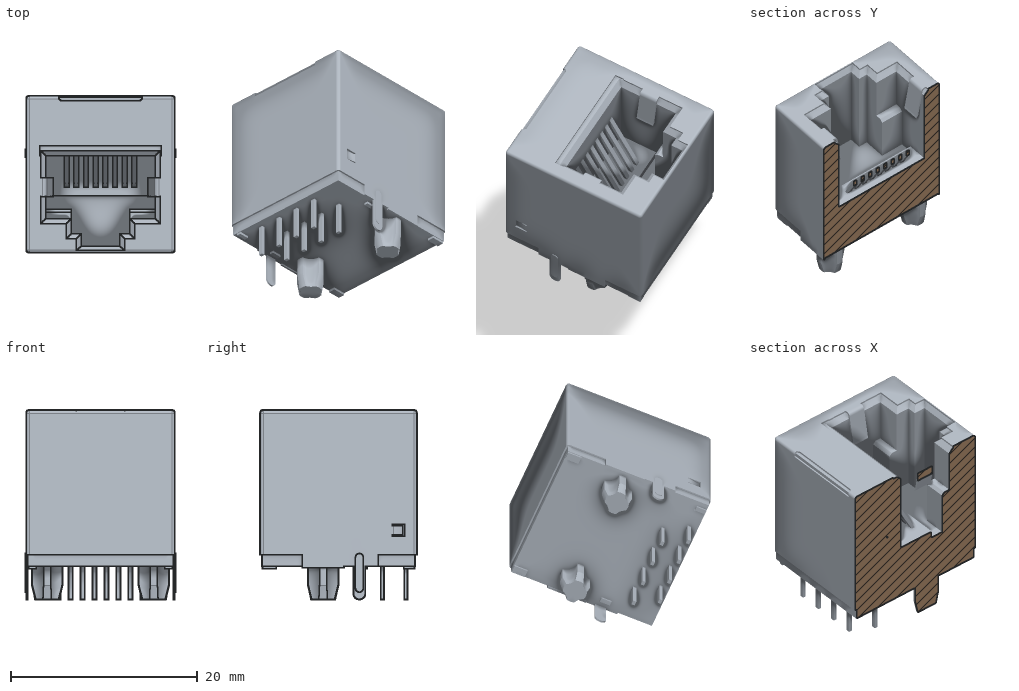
import cadquery as cq
import math

TOP_Z = 20.3
OVERALL_X = 16.1
SHELL_Y = 16.8

RIB_HEIGHT = 0.08
SHELL_X = OVERALL_X - 2 * RIB_HEIGHT
SHELL_BOTTOM_Z = 4.77
SHELL_THICKNESS = 0.2
EDGE_RADIUS = 0.35

BASE_X = SHELL_X - 2 * SHELL_THICKNESS
BASE_Y = SHELL_Y - 2 * SHELL_THICKNESS
BASE_BOTTOM_Z = 3.55

FLAP_BACK_Y = 4.25
FLAP_STEP_Y = 0.6
FLAP_FRONT_Y = -3.9
FLAP_STEP_Z = 3.4

FOOT_BOTTOM_Z = 3.29
FRONT_FOOT_X = (6.9, 7.7)
FRONT_FOOT_Y = (-8.16, -6.64)
INNER_FOOT_X = (6.74, 7.2)
MIDDLE_FOOT_Y = (1.89, 3.07)
REAR_FOOT_Y = (6.98, 8.16)

SHIELD_PIN_Y = 2.23
SHIELD_PIN_WIDTH = 1.3
RIB_WIDTH = 0.83
RIB_BOTTOM_Z = 0.8
RIB_TOP_Z = 4.93

PIN_COUNT = 8
PIN_PITCH = 1.28
PIN_X = 0.47
PIN_Y = 0.37
PIN_ROWS_Y = (4.69, 7.2)

POST_X = 5.7
POST_Y = -1.65
POST_RADIUS = 1.65
POST_TIP_RADIUS = 1.3
POST_TAPER_Z = 1.55
POST_FLUTE_RADIUS = 1.25

CAVITY_TOP_Y = 1.99
CAVITY_STEPS = ((5.87, -4.75), (3.13, -6.37), (2.07, -7.73))
CAVITY_FLOOR_Z = 10.15
FRONT_FLOOR_Z = 9.34
FLOOR_STEP_Y = -2.31
LEAD_IN = 0.55
LEAD_IN_DEPTH = 0.55
WINDOW_HALF_X = 6.5
WINDOW_TOP_Y = 3.05
WINDOW_FRONT_Y = -8.15

SHOULDER_TOP_Z = 14.62
SHOULDER_Y = -3.75
SHOULDER_CHAMFER = 0.32

CONTACT_PITCH = 1.04
CONTACT_WIDTH = 0.5
CONTACT_TOP_Z = 16.42
CONTACT_FRONT_Y = -1.38
CONTACT_THICKNESS = 0.4

SPRING_BACK_Y = -0.37
SPRING_FRONT_Y = -2.4
SPRING_BEND_X = 6.21
SPRING_BEND_RADIUS = 0.47
SPRING_TIP_X = 5.14
SPRING_TIP_Z = 16.59
SPRING_LIP_X = 0.06
SPRING_LIP_Z = 0.22

NOTCH_HALF_X = 4.49
NOTCH_FRONT_Y = 7.88
NOTCH_CORNER = 0.25
NOTCH_REAR_Y = 8.25
NOTCH_REAR_DEPTH = 0.6

LATCH_HINGE_Y = 5.75
LATCH_BEND_Y = 5.87
LATCH_END_Y = 6.86
LATCH_WINDOW_END_Y = 7.1
LATCH_Z = 7.43
LATCH_WINDOW_HEIGHT = 1.3
LATCH_HEIGHT = 0.97
LATCH_DROP = 0.18


def box(x0, x1, y0, y1, z0, z1):
    """Axis-aligned box between opposite corners."""
    return cq.Workplane("XY").box(x1 - x0, y1 - y0, z1 - z0, centered=False).translate((x0, y0, z0))


def side_plate(outline, inner_x, outer_x):
    """Extrude an outline on the YZ plane between two x positions on the +X side."""
    return outline.extrude(outer_x - inner_x).translate((inner_x, 0, 0))


def both_sides(solid):
    """The solid together with its mirror image across the YZ plane."""
    return solid.union(solid.mirror("YZ"))


def make_body():
    shell = (
        cq.Workplane("XY", origin=(0, 0, SHELL_BOTTOM_Z))
        .rect(SHELL_X, SHELL_Y)
        .extrude(TOP_Z - SHELL_BOTTOM_Z)
        .edges("|Z or >Z")
        .fillet(EDGE_RADIUS)
    )
    base = (
        cq.Workplane("XY", origin=(0, 0, BASE_BOTTOM_Z))
        .rect(BASE_X, BASE_Y)
        .extrude(SHELL_BOTTOM_Z - BASE_BOTTOM_Z)
    )
    return shell.union(base)


def make_flaps():
    outline = cq.Workplane("YZ").polyline([
        (FLAP_BACK_Y, SHELL_BOTTOM_Z),
        (FLAP_BACK_Y, BASE_BOTTOM_Z),
        (FLAP_STEP_Y, BASE_BOTTOM_Z),
        (FLAP_STEP_Y, FLAP_STEP_Z),
        (FLAP_FRONT_Y, FLAP_STEP_Z),
        (FLAP_FRONT_Y, SHELL_BOTTOM_Z),
    ]).close()
    return both_sides(side_plate(outline, BASE_X / 2, SHELL_X / 2))


def upright_slot(width, bottom_z, top_z):
    """Round-ended upright outline centred on the shield pin."""
    return (
        cq.Workplane("YZ")
        .center(SHIELD_PIN_Y, (bottom_z + top_z) / 2)
        .slot2D(top_z - bottom_z, width, 90)
    )


def make_shield_pins():
    pin = side_plate(upright_slot(SHIELD_PIN_WIDTH, 0, SHELL_BOTTOM_Z), BASE_X / 2, SHELL_X / 2)
    rib = side_plate(upright_slot(RIB_WIDTH, RIB_BOTTOM_Z, RIB_TOP_Z), BASE_X / 2, OVERALL_X / 2)
    return both_sides(pin.union(rib))


def make_feet():
    """A pair of feet at the front, a pair at the shield pins and one in the rear +X corner."""
    height = (FOOT_BOTTOM_Z, BASE_BOTTOM_Z)
    pairs = box(*FRONT_FOOT_X, *FRONT_FOOT_Y, *height).union(box(*INNER_FOOT_X, *MIDDLE_FOOT_Y, *height))
    return both_sides(pairs).union(box(*INNER_FOOT_X, *REAR_FOOT_Y, *height))


def make_solder_pins():
    pins = cq.Workplane("XY")
    for i in range(PIN_COUNT):
        x = (i - (PIN_COUNT - 1) / 2) * PIN_PITCH
        y = PIN_ROWS_Y[i % 2]
        pins = pins.union(cq.Workplane("XY").center(x, y).rect(PIN_X, PIN_Y).extrude(BASE_BOTTOM_Z))
    return pins


def make_posts():
    envelope = (
        cq.Workplane("XZ")
        .polyline([
            (0, 0),
            (POST_TIP_RADIUS, 0),
            (POST_RADIUS, POST_TAPER_Z),
            (POST_RADIUS, BASE_BOTTOM_Z),
            (0, BASE_BOTTOM_Z),
        ])
        .close()
        .revolve(360, (0, 0, 0), (0, 1, 0))
    )
    flutes = (
        cq.Workplane("XY")
        .rect(2 * POST_RADIUS, 2 * POST_RADIUS, forConstruction=True)
        .vertices()
        .circle(POST_FLUTE_RADIUS)
        .extrude(BASE_BOTTOM_Z)
    )
    return both_sides(envelope.cut(flutes).translate((POST_X, POST_Y, 0)))


def cavity_outline(plane_z, growth):
    """Stepped plug outline, its walls moved outward by the growth but kept behind the front edge."""
    right = []
    upper_y = CAVITY_TOP_Y + growth
    for half_x, lower_y in CAVITY_STEPS:
        grown_y = max(lower_y - growth, WINDOW_FRONT_Y)
        right += [(half_x + growth, upper_y), (half_x + growth, grown_y)]
        upper_y = grown_y
    left = [(-x, y) for x, y in reversed(right)]
    return cq.Workplane("XY", origin=(0, 0, plane_z)).polyline(right + left).close()


def make_cavity():
    plastic_top_z = TOP_Z - SHELL_THICKNESS
    inner_z = plastic_top_z - LEAD_IN_DEPTH
    hole = cavity_outline(FRONT_FLOOR_Z, 0).extrude(TOP_Z - FRONT_FLOOR_Z)
    lead_in = cq.Workplane(cq.Solid.makeLoft([
        cavity_outline(inner_z, 0).val(),
        cavity_outline(plastic_top_z, LEAD_IN).val(),
    ], True))
    window = cavity_outline(plastic_top_z, LEAD_IN).extrude(SHELL_THICKNESS)
    window = window.union(box(-WINDOW_HALF_X, WINDOW_HALF_X, CAVITY_TOP_Y, WINDOW_TOP_Y,
                              plastic_top_z, TOP_Z))
    raised_floor = box(-WINDOW_HALF_X, WINDOW_HALF_X, FLOOR_STEP_Y, CAVITY_TOP_Y,
                       FRONT_FLOOR_Z, CAVITY_FLOOR_Z)
    return hole.cut(raised_floor).union(lead_in).union(window)


def make_shoulders():
    wall_x, wall_y = CAVITY_STEPS[0]
    channel_x = CAVITY_STEPS[1][0]
    outline = cq.Workplane("YZ").polyline([
        (wall_y, FRONT_FLOOR_Z),
        (SHOULDER_Y, FRONT_FLOOR_Z),
        (SHOULDER_Y, SHOULDER_TOP_Z - SHOULDER_CHAMFER),
        (SHOULDER_Y - SHOULDER_CHAMFER, SHOULDER_TOP_Z),
        (wall_y, SHOULDER_TOP_Z),
    ]).close()
    return both_sides(side_plate(outline, channel_x, wall_x))


def make_contacts():
    contacts = cq.Workplane("XY")
    outline = cq.Workplane("YZ").polyline([
        (CAVITY_TOP_Y, CONTACT_TOP_Z),
        (CONTACT_FRONT_Y, CAVITY_FLOOR_Z),
        (CONTACT_FRONT_Y + CONTACT_THICKNESS, CAVITY_FLOOR_Z),
        (CAVITY_TOP_Y, CONTACT_TOP_Z - 2 * CONTACT_THICKNESS),
    ]).close()
    contact = outline.extrude(CONTACT_WIDTH / 2, both=True)
    for i in range(PIN_COUNT):
        x = (i - (PIN_COUNT - 1) / 2) * CONTACT_PITCH
        contacts = contacts.union(contact.translate((x, 0, 0)))
    return contacts


def make_springs():
    width = SPRING_BACK_Y - SPRING_FRONT_Y
    root_x = WINDOW_HALF_X + LEAD_IN
    center_z = TOP_Z - SPRING_BEND_RADIUS
    to_tip_x = SPRING_BEND_X - SPRING_TIP_X
    to_tip_z = center_z - SPRING_TIP_Z
    lean = math.atan2(to_tip_x, to_tip_z)
    lean -= math.asin(SPRING_BEND_RADIUS / math.hypot(to_tip_x, to_tip_z))
    half_turn = (math.pi / 2 - lean) / 2
    inner_radius = SPRING_BEND_RADIUS - SHELL_THICKNESS

    def on_bend(radius, angle):
        """Point on the bend at an angle from straight up, turning into the cavity."""
        return (SPRING_BEND_X - radius * math.sin(angle), center_z + radius * math.cos(angle))

    tip = (SPRING_TIP_X, SPRING_TIP_Z)
    tip_back = (
        SPRING_TIP_X + SHELL_THICKNESS * math.cos(lean),
        SPRING_TIP_Z + SHELL_THICKNESS * math.sin(lean),
    )
    spring = (
        cq.Workplane("XZ", origin=(0, SPRING_BACK_Y, 0))
        .moveTo(root_x, TOP_Z)
        .lineTo(SPRING_BEND_X, TOP_Z)
        .threePointArc(on_bend(SPRING_BEND_RADIUS, half_turn), on_bend(SPRING_BEND_RADIUS, 2 * half_turn))
        .lineTo(*tip)
        .line(-SPRING_LIP_X, -SPRING_LIP_Z)
        .lineTo(*tip_back)
        .lineTo(*on_bend(inner_radius, 2 * half_turn))
        .threePointArc(on_bend(inner_radius, half_turn), on_bend(inner_radius, 0))
        .lineTo(root_x, TOP_Z - SHELL_THICKNESS)
        .close()
        .extrude(width)
    )
    return both_sides(spring)


def make_rear_notch():
    top = (
        cq.Workplane("XY", origin=(0, 0, TOP_Z - SHELL_THICKNESS))
        .polyline([
            (-NOTCH_HALF_X, SHELL_Y / 2),
            (-NOTCH_HALF_X, NOTCH_FRONT_Y + NOTCH_CORNER),
            (-NOTCH_HALF_X + NOTCH_CORNER, NOTCH_FRONT_Y),
            (NOTCH_HALF_X - NOTCH_CORNER, NOTCH_FRONT_Y),
            (NOTCH_HALF_X, NOTCH_FRONT_Y + NOTCH_CORNER),
            (NOTCH_HALF_X, SHELL_Y / 2),
        ])
        .close()
        .extrude(SHELL_THICKNESS)
    )
    rear = box(-NOTCH_HALF_X, NOTCH_HALF_X, NOTCH_REAR_Y, SHELL_Y / 2, TOP_Z - NOTCH_REAR_DEPTH, TOP_Z)
    return top.union(rear)


def make_latch_recesses():
    """Side windows around tabs that lean inward from their hinge."""
    window = box(BASE_X / 2, SHELL_X / 2, LATCH_HINGE_Y, LATCH_WINDOW_END_Y,
                 LATCH_Z - LATCH_WINDOW_HEIGHT / 2, LATCH_Z + LATCH_WINDOW_HEIGHT / 2)
    tab = (
        cq.Workplane("XY", origin=(0, 0, LATCH_Z))
        .polyline([
            (BASE_X / 2, LATCH_HINGE_Y),
            (SHELL_X / 2, LATCH_HINGE_Y),
            (SHELL_X / 2, LATCH_BEND_Y),
            (SHELL_X / 2 - LATCH_DROP, LATCH_END_Y),
            (BASE_X / 2, LATCH_END_Y),
        ])
        .close()
        .extrude(LATCH_HEIGHT / 2, both=True)
    )
    return both_sides(window.cut(tab))


result = (
    make_body()
    .union(make_flaps())
    .cut(make_cavity())
    .cut(make_rear_notch())
    .cut(make_latch_recesses())
    .union(make_shoulders())
    .union(make_contacts())
    .union(make_springs())
    .union(make_shield_pins())
    .union(make_feet())
    .union(make_solder_pins())
    .union(make_posts())
)